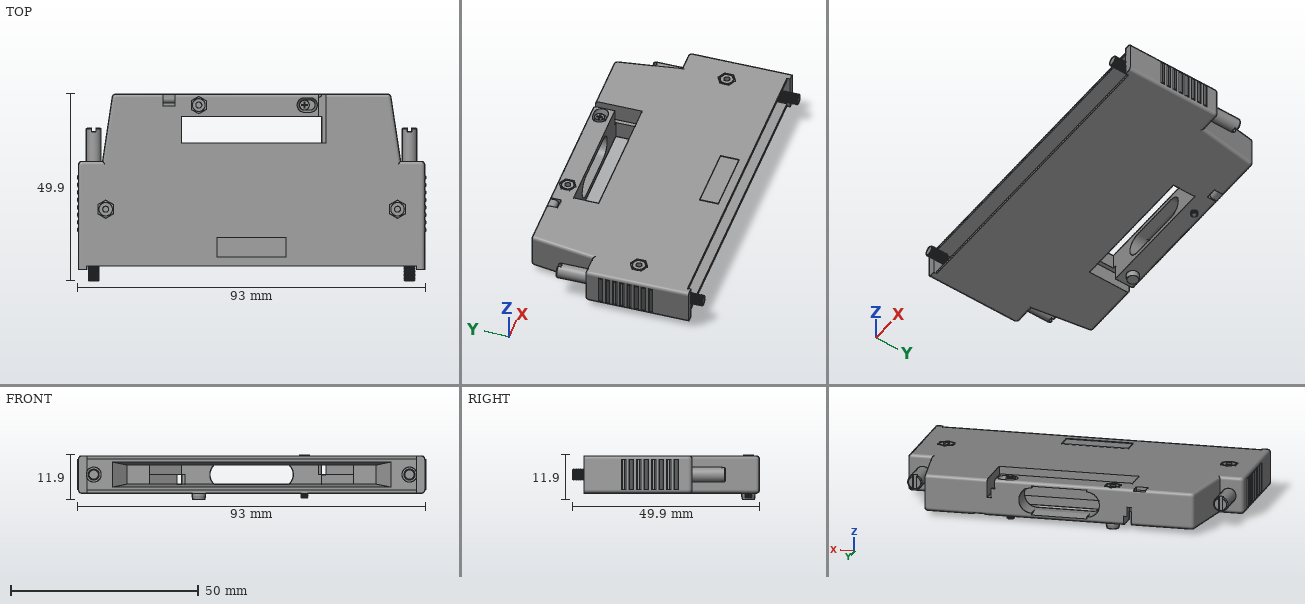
import cadquery as cq
import math


OVERALL_WIDTH = 93.03
OVERALL_LENGTH = 49.85
OVERALL_HEIGHT = 11.9
GRIP_HEIGHT = 0.28
BODY_HALF_WIDTH = OVERALL_WIDTH / 2 - GRIP_HEIGHT
BODY_HALF_HEIGHT = 5.0
THREAD_OVERHANG = 3.0
BODY_LENGTH = OVERALL_LENGTH - THREAD_OVERHANG

SHOULDER_Y = 28.9
SHOULDER_HALF_WIDTH = 39.8
REAR_HALF_WIDTH = 37.1
EDGE_RADIUS = 0.9
CORNER_RADIUS = 1.0

PLATE_FRONT_Y = 0.9
PLATE_THICKNESS = 0.85
OPENING_HALF_WIDTH = 44.0
BULKHEAD_Y = 7.4

FUNNEL_HALF_WIDTH = 37.15
FUNNEL_HALF_HEIGHT = 3.35
FUNNEL_LENGTH = 4.0
CHAMBER_HALF_WIDTH = 33.25
CHAMBER_HALF_HEIGHT = 2.55
CHAMBER_STEP_Y = 28.5
THROAT_HALF_WIDTH = 27.2

WINDOW_FRONT_Y = 33.8
BAR_FRONT_Y = 40.8
WINDOW_SHORT_X = 18.7
WINDOW_LONG_X = 19.85
BAR_END_X = 17.8
CABLE_HOLE_WIDTH = 22.2
CABLE_HOLE_HEIGHT = 7.0
CABLE_FLARE_LENGTH = 3.0
CABLE_FLARE = 0.5

LATCH_X = -22.1
LATCH_WIDTH = 3.2
LATCH_LENGTH = 3.15
LATCH_DEPTH = 1.5
LATCH_LEDGE_DEPTH = 0.4
LATCH_LEDGE_LENGTH = 1.35

LABEL_WIDTH = 18.4
LABEL_LENGTH = 5.2
LABEL_Y = 5.9
LABEL_DEPTH = 0.2

GRIP_COUNT = 8
GRIP_PITCH = 2.0
GRIP_FIRST_Y = 10.6
GRIP_WIDTH = 1.2
GRIP_TOP_WIDTH = 0.5
GRIP_LENGTH = 8.0

JACK_X = 42.15
JACK_HEAD_DIAMETER = 4.0
JACK_HEAD_START_Y = 20.0
JACK_HEAD_END_Y = 37.8
JACK_HEAD_CHAMFER = 0.3
JACK_SLOT_WIDTH = 1.1
JACK_SLOT_DEPTH = 1.0
JACK_NECK_DIAMETER = 2.2
JACK_THREAD_DIAMETER = 2.9
JACK_THREAD_LENGTH = 5.4
THREAD_PITCH = 0.4
THREAD_DEPTH = 0.2

SHELL_NUT_X = 38.95
SHELL_NUT_Y = 16.1
SHELL_NUT_FLATS = 4.2
CLAMP_NUT_FLATS = 4.0
NUT_GAP = 0.3
NUT_GAP_DEPTH = 0.5
NUT_BORE = 1.6
NUT_BORE_DEPTH = 2.0

CLAMP_X = 14.1
CLAMP_Y = 43.9
CLAMP_SLOT_WIDTH = 3.9
CLAMP_SLOT_TRAVEL = 1.5
CLAMP_SLOT_DEPTH = 1.5
CLAMP_SLOT_FLOOR_WIDTH = 2.7
CLAMP_HEAD_DIAMETER = 2.6
CLAMP_HEAD_TOP = 5.2
CLAMP_CROSS_LENGTH = 1.6
CLAMP_CROSS_WIDTH = 0.35
CLAMP_CROSS_DEPTH = 0.6
CLAMP_TIP_DIAMETER = 1.95
CLAMP_TIP_BOTTOM = -6.2
LOWER_HEAD_DIAMETER = 3.6
LOWER_HEAD_BOTTOM = CLAMP_HEAD_TOP - OVERALL_HEIGHT
LOWER_HEAD_TAPER_HEIGHT = 0.9
LOWER_HEAD_TAPER = 0.2

SIDES = (-1, 1)


def box(x_range, y_range, z_range):
    """Box between pairs of limits."""
    size = [limits[1] - limits[0] for limits in (x_range, y_range, z_range)]
    corner = (x_range[0], y_range[0], z_range[0])
    return cq.Workplane("XY").box(*size, centered=False).translate(corner)


def cylinder_z(diameter, x, y, bottom, top):
    """Upright cylinder between two heights."""
    return cq.Workplane("XY", origin=(x, y, bottom)).circle(diameter / 2).extrude(top - bottom)


def cylinder_y(diameter, x, start, end):
    """Cylinder along Y at mid height."""
    plane = cq.Plane(origin=(x, start, 0), xDir=(1, 0, 0), normal=(0, 1, 0))
    return cq.Workplane(plane).circle(diameter / 2).extrude(end - start)


def hexagon(flats, x, y, bottom, top):
    """Upright hexagonal prism with corners toward +Y and -Y."""
    corners = flats / math.cos(math.pi / 6)
    prism = cq.Workplane("XY").polygon(6, corners).extrude(top - bottom)
    return prism.rotate((0, 0, 0), (0, 0, 1), 30).translate((x, y, bottom))


def turn_over(shape):
    """Copy for the other half shell: 180 degrees about the Y axis."""
    return shape.rotate((0, 0, 0), (0, 1, 0), 180)


def threaded_rod(diameter, length):
    """Rod along +Z from the origin, with V grooves standing in for a thread."""
    crest = diameter / 2
    root = crest - THREAD_DEPTH
    turns = round(length / THREAD_PITCH)
    pitch = length / turns
    points = [(0, 0), (root, 0)]
    for turn in range(turns):
        points.append((crest, (turn + 0.5) * pitch))
        points.append((root, (turn + 1) * pitch))
    points.append((0, length))
    return cq.Workplane("XZ").polyline(points).close().revolve(360, (0, 0, 0), (0, 1, 0))


def hood_body():
    """Solid hood with rounded corners and edges, square at the mating end."""
    right_side = [
        (BODY_HALF_WIDTH, 0),
        (BODY_HALF_WIDTH, SHOULDER_Y),
        (SHOULDER_HALF_WIDTH, SHOULDER_Y),
        (REAR_HALF_WIDTH, BODY_LENGTH),
    ]
    left_side = [(-x, y) for x, y in reversed(right_side)]
    body = (
        cq.Workplane("XY", origin=(0, 0, -BODY_HALF_HEIGHT))
        .polyline(right_side + left_side)
        .close()
        .extrude(2 * BODY_HALF_HEIGHT)
    )
    rounded_corners = [(BODY_HALF_WIDTH, SHOULDER_Y), (REAR_HALF_WIDTH, BODY_LENGTH)]
    for x, y in rounded_corners:
        for side in SIDES:
            body = body.edges(cq.selectors.NearestToPointSelector((side * x, y, 0))).fillet(CORNER_RADIUS)
    rim = body.faces("|Z").edges("not <Y")
    return rim.fillet(EDGE_RADIUS)


def mating_opening():
    """Space between the cover plates, and the set-back of the plate edges."""
    gap_z = BODY_HALF_HEIGHT - PLATE_THICKNESS
    width = (-OPENING_HALF_WIDTH, OPENING_HALF_WIDTH)
    opening = box(width, (0, BULKHEAD_Y), (-gap_z, gap_z))
    set_back = box(width, (0, PLATE_FRONT_Y), (-BODY_HALF_HEIGHT, BODY_HALF_HEIGHT))
    return opening.union(set_back)


def funnel():
    """Tapered mouth of the cable chamber in the bulkhead."""
    plane = cq.Plane(origin=(0, BULKHEAD_Y, 0), xDir=(1, 0, 0), normal=(0, 1, 0))
    return (
        cq.Workplane(plane)
        .rect(2 * FUNNEL_HALF_WIDTH, 2 * FUNNEL_HALF_HEIGHT)
        .workplane(offset=FUNNEL_LENGTH)
        .rect(2 * CHAMBER_HALF_WIDTH, 2 * CHAMBER_HALF_HEIGHT)
        .loft(ruled=True)
    )


def half_chamber():
    """Upper half of the cable chamber, from the funnel to the window."""
    outline = [
        (-CHAMBER_HALF_WIDTH, BULKHEAD_Y + FUNNEL_LENGTH),
        (CHAMBER_HALF_WIDTH, BULKHEAD_Y + FUNNEL_LENGTH),
        (CHAMBER_HALF_WIDTH, CHAMBER_STEP_Y),
        (THROAT_HALF_WIDTH, CHAMBER_STEP_Y),
        (WINDOW_LONG_X, WINDOW_FRONT_Y),
        (-WINDOW_SHORT_X, WINDOW_FRONT_Y),
        (-THROAT_HALF_WIDTH, CHAMBER_STEP_Y),
        (-CHAMBER_HALF_WIDTH, CHAMBER_STEP_Y),
    ]
    return cq.Workplane("XY").polyline(outline).close().extrude(CHAMBER_HALF_HEIGHT)


def half_window():
    """Upper window, and the gap at the +X end of the clamp bar with a rounded lip left in it."""
    height = (0, BODY_HALF_HEIGHT)
    window = box((-WINDOW_SHORT_X, WINDOW_LONG_X), (WINDOW_FRONT_Y, BAR_FRONT_Y), height)
    gap = box((BAR_END_X, WINDOW_LONG_X), (BAR_FRONT_Y, BODY_LENGTH), height)
    lip_diameter = 2 * (WINDOW_SHORT_X - BAR_END_X)
    lip = cylinder_z(lip_diameter, BAR_END_X, BODY_LENGTH, 0, CHAMBER_HALF_HEIGHT)
    return window.union(gap.cut(lip))


def half_latch():
    """Upper latch notch, leaving a ledge with a rounded inner edge."""
    notch_front = BODY_LENGTH - LATCH_LENGTH
    ledge_y = BODY_LENGTH - LATCH_LEDGE_LENGTH
    floor = BODY_HALF_HEIGHT - LATCH_DEPTH
    ledge_radius = LATCH_DEPTH - LATCH_LEDGE_DEPTH
    return (
        cq.Workplane("YZ", origin=(LATCH_X - LATCH_WIDTH / 2, 0, 0))
        .moveTo(notch_front, BODY_HALF_HEIGHT)
        .lineTo(notch_front, floor)
        .lineTo(ledge_y - ledge_radius, floor)
        .radiusArc((ledge_y, floor + ledge_radius), ledge_radius)
        .lineTo(BODY_LENGTH, floor + ledge_radius)
        .lineTo(BODY_LENGTH, BODY_HALF_HEIGHT)
        .close()
        .extrude(LATCH_WIDTH)
    )


def cable_hole():
    """Rounded slot through the clamp bar, its flat sides flared toward the cable end."""
    plane = cq.Plane(origin=(0, BAR_FRONT_Y, 0), xDir=(1, 0, 0), normal=(0, 1, 0))
    length = BODY_LENGTH - BAR_FRONT_Y
    hole = cq.Workplane(plane).slot2D(CABLE_HOLE_WIDTH, CABLE_HOLE_HEIGHT).extrude(length)
    straight_length = CABLE_HOLE_WIDTH - CABLE_HOLE_HEIGHT
    half_height = CABLE_HOLE_HEIGHT / 2
    flare_profile = [
        (BODY_LENGTH - CABLE_FLARE_LENGTH, half_height),
        (BODY_LENGTH, half_height + CABLE_FLARE),
        (BODY_LENGTH, -half_height - CABLE_FLARE),
        (BODY_LENGTH - CABLE_FLARE_LENGTH, -half_height),
    ]
    flare = cq.Workplane("YZ", origin=(-straight_length / 2, 0, 0)).polyline(flare_profile).close()
    return hole.union(flare.extrude(straight_length))


def label_recess():
    """Shallow rectangle in the top face."""
    return (
        cq.Workplane("XY", origin=(0, LABEL_Y, BODY_HALF_HEIGHT - LABEL_DEPTH))
        .rect(LABEL_WIDTH, LABEL_LENGTH)
        .extrude(LABEL_DEPTH)
    )


def nut_cut(flats, x, y):
    """Ring between a round nut and its hexagonal seat, plus the nut bore."""
    top = BODY_HALF_HEIGHT
    ring_bottom = top - NUT_GAP_DEPTH
    seat = hexagon(flats, x, y, ring_bottom, top)
    nut = cylinder_z(flats - 2 * NUT_GAP, x, y, ring_bottom, top)
    bore = cylinder_z(NUT_BORE, x, y, top - NUT_BORE_DEPTH, top)
    return seat.cut(nut).union(bore)


def grip_ribs(side):
    """Row of trapezoid ribs on one side wall."""
    ribs = cq.Workplane("XY")
    wall = side * BODY_HALF_WIDTH
    crest = side * (BODY_HALF_WIDTH + GRIP_HEIGHT)
    for index in range(GRIP_COUNT):
        y = GRIP_FIRST_Y + index * GRIP_PITCH
        profile = [
            (wall, y - GRIP_WIDTH / 2),
            (crest, y - GRIP_TOP_WIDTH / 2),
            (crest, y + GRIP_TOP_WIDTH / 2),
            (wall, y + GRIP_WIDTH / 2),
        ]
        rib = cq.Workplane("XY", origin=(0, 0, -GRIP_LENGTH / 2)).polyline(profile).close()
        ribs = ribs.add(rib.extrude(GRIP_LENGTH))
    return ribs


def jack_screw(side):
    """Slotted head behind the shoulder, neck, and thread at the mating end."""
    x = side * JACK_X
    head = cylinder_y(JACK_HEAD_DIAMETER, x, JACK_HEAD_START_Y, JACK_HEAD_END_Y)
    head = head.faces(">Y").chamfer(JACK_HEAD_CHAMFER)
    slot = box(
        (x - JACK_SLOT_WIDTH / 2, x + JACK_SLOT_WIDTH / 2),
        (JACK_HEAD_END_Y - JACK_SLOT_DEPTH, JACK_HEAD_END_Y),
        (-JACK_HEAD_DIAMETER, JACK_HEAD_DIAMETER),
    )
    neck_start = JACK_THREAD_LENGTH - THREAD_OVERHANG
    neck = cylinder_y(JACK_NECK_DIAMETER, x, neck_start, JACK_HEAD_START_Y)
    thread = threaded_rod(JACK_THREAD_DIAMETER, JACK_THREAD_LENGTH)
    thread = thread.rotate((0, 0, 0), (1, 0, 0), -90).translate((x, -THREAD_OVERHANG, 0))
    return head.cut(slot).union(neck).union(thread)


def jack_bore(side):
    """Clearance bore in front of the jack screw head."""
    return cylinder_y(JACK_HEAD_DIAMETER, side * JACK_X, BULKHEAD_Y, JACK_HEAD_START_Y)


def clamp_slot():
    """Elongated countersink that lets the clamp bar slide under its screw."""
    inset = (CLAMP_SLOT_WIDTH - CLAMP_SLOT_FLOOR_WIDTH) / 2
    wall_angle = math.degrees(math.atan2(inset, CLAMP_SLOT_DEPTH))
    return (
        cq.Workplane("XY", origin=(CLAMP_X + CLAMP_SLOT_TRAVEL / 2, CLAMP_Y, BODY_HALF_HEIGHT))
        .slot2D(CLAMP_SLOT_WIDTH + CLAMP_SLOT_TRAVEL, CLAMP_SLOT_WIDTH)
        .extrude(-CLAMP_SLOT_DEPTH, taper=wall_angle)
    )


def upper_clamp_screw():
    """Screw with a cross recess on top and a threaded tip below the hood."""
    floor = BODY_HALF_HEIGHT - CLAMP_SLOT_DEPTH
    head = cylinder_z(CLAMP_HEAD_DIAMETER, CLAMP_X, CLAMP_Y, floor, CLAMP_HEAD_TOP)
    cross_plane = cq.Workplane("XY", origin=(CLAMP_X, CLAMP_Y, CLAMP_HEAD_TOP))
    for length, width in (
        (CLAMP_CROSS_LENGTH, CLAMP_CROSS_WIDTH),
        (CLAMP_CROSS_WIDTH, CLAMP_CROSS_LENGTH),
    ):
        head = head.cut(cross_plane.rect(length, width).extrude(-CLAMP_CROSS_DEPTH))
    tip_length = -BODY_HALF_HEIGHT - CLAMP_TIP_BOTTOM
    tip = threaded_rod(CLAMP_TIP_DIAMETER, tip_length)
    return head.union(tip.translate((CLAMP_X, CLAMP_Y, CLAMP_TIP_BOTTOM)))


def lower_clamp_screw():
    """Head of the second clamp screw, standing below the hood."""
    head = cylinder_z(
        LOWER_HEAD_DIAMETER, -CLAMP_X, CLAMP_Y, LOWER_HEAD_BOTTOM, -BODY_HALF_HEIGHT
    )
    return head.faces("<Z").chamfer(LOWER_HEAD_TAPER_HEIGHT, LOWER_HEAD_TAPER)


def build():
    """Hood with all cuts, ribs and screws as one solid."""
    hood = hood_body().cut(mating_opening()).cut(funnel()).cut(cable_hole())
    for half_cut in (half_chamber(), half_window(), half_latch()):
        hood = hood.cut(half_cut).cut(turn_over(half_cut))
    hood = hood.cut(label_recess()).cut(clamp_slot())
    hood = hood.cut(nut_cut(CLAMP_NUT_FLATS, -CLAMP_X, CLAMP_Y))
    for side in SIDES:
        hood = hood.cut(nut_cut(SHELL_NUT_FLATS, side * SHELL_NUT_X, SHELL_NUT_Y))
        hood = hood.cut(jack_bore(side))
        hood = hood.union(jack_screw(side))
        for rib in grip_ribs(side).vals():
            hood = hood.union(cq.Workplane(rib))
    return hood.union(upper_clamp_screw()).union(lower_clamp_screw())


result = build()